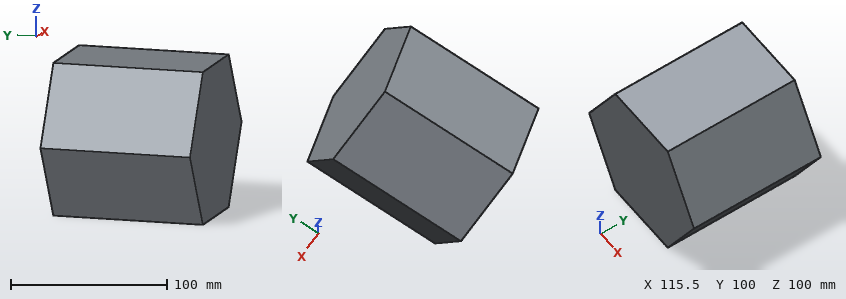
import cadquery as cq
import math

across_corners = 115.5
across_flats = across_corners * math.cos(math.radians(30))
length = across_flats

result = (
    cq.Workplane("XZ")
    .polygon(6, across_corners)
    .extrude(length / 2, both=True)
)